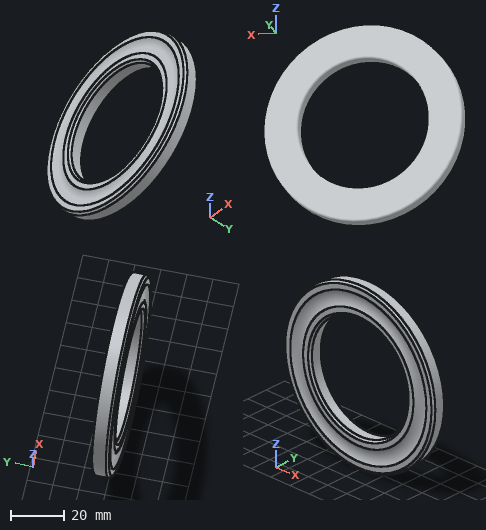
import cadquery as cq

outer_radius = 39.0
bore_radius = 25.0
thickness = 6.55
edge_break = 1.0

race_inner_radius = 28.6
race_outer_radius = 35.3
race_depth = 1.1

front = -thickness / 2
back = thickness / 2


def ring_body():
    """Plain ring with chamfered front edges and rounded back edges."""
    profile = (
        cq.Workplane("XY")
        .moveTo(bore_radius + edge_break, front)
        .lineTo(outer_radius - edge_break, front)
        .lineTo(outer_radius, front + edge_break)
        .lineTo(outer_radius, back - edge_break)
        .radiusArc((outer_radius - edge_break, back), -edge_break)
        .lineTo(bore_radius + edge_break, back)
        .radiusArc((bore_radius, back - edge_break), -edge_break)
        .lineTo(bore_radius, front + edge_break)
        .close()
    )
    return profile.revolve(360, (0, 0, 0), (0, 1, 0))


def ball_race():
    """Annular cutter whose section is a circle dipping into the front face."""
    half_width = (race_outer_radius - race_inner_radius) / 2
    pitch_radius = (race_outer_radius + race_inner_radius) / 2
    arc_radius = (half_width**2 + race_depth**2) / (2 * race_depth)
    center_y = front + race_depth - arc_radius
    section = cq.Workplane("XY").center(pitch_radius, center_y).circle(arc_radius)
    return section.revolve(360, (-pitch_radius, -center_y, 0), (-pitch_radius, 0, 0))


result = ring_body().cut(ball_race())